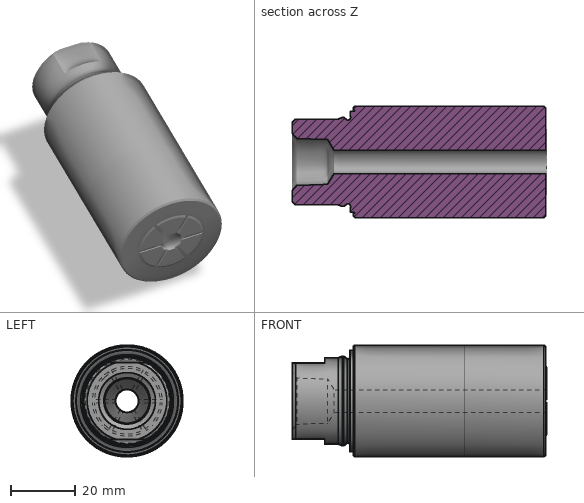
import cadquery as cq
import math

total_length = 79.48

neck_radius = 26.98 / 2
neck_chamfer = 1.05
neck_end = 14.4
flat_length = 10.1
flat_width = 23.8

ridge_radius = 27.94 / 2
ridge_start = 15.6
ridge_end = 16.1
relief_radius = 13.1
relief_start = 17.25

collar_radius = 31.75 / 2
collar_start = 18.0
gap_outer_radius = 32 / 2
gap_depth = 0.5
undercut_radius = 14.5

body_radius = 34.925 / 2
body_start = 19.0
body_chamfer = 0.55
seam_position = 53.7

pad_radius = 21.82 / 2
pad_height = 0.32
pad_edge_width = 0.65
slot_width = 1.1
slot_count = 3

countersink_radius = 8.87
countersink_depth = 1.4
socket_mouth_radius = 7.25
socket_end_radius = 13.89 / 2
taper_end = 10.2
cone_start = 11.0
drill_tip_half_angle = math.radians(59)
passage_radius = 7.11 / 2


def revolve_profile(profile):
    """Close an (x, radius) outline and revolve it about the X axis."""
    return profile.close().revolve(360, (0, 0, 0), (1, 0, 0))


def revolve_about_x(points):
    """Revolve a straight-sided (x, radius) outline about the X axis."""
    return revolve_profile(cq.Workplane("XY").polyline(points))


def make_front_section():
    """Neck, ridge, undercut, collar and the body up to the seam."""
    arc_run = collar_start - relief_start
    arc_rise = undercut_radius - relief_radius
    arc_radius = (arc_run**2 + arc_rise**2) / (2 * arc_rise)
    profile = (
        cq.Workplane("XY")
        .moveTo(0, 0)
        .lineTo(0, neck_radius - neck_chamfer)
        .lineTo(neck_chamfer, neck_radius)
        .lineTo(neck_end, neck_radius)
        .lineTo(ridge_start, ridge_radius)
        .lineTo(ridge_end, ridge_radius)
        .lineTo(relief_start, relief_radius)
        .threePointArc(
            (relief_start + arc_radius, relief_radius + arc_radius),
            (collar_start, undercut_radius),
        )
        .lineTo(collar_start, collar_radius)
        .lineTo(body_start + gap_depth, collar_radius)
        .lineTo(body_start + gap_depth, gap_outer_radius)
        .lineTo(body_start, gap_outer_radius)
        .lineTo(body_start, body_radius - body_chamfer)
        .lineTo(body_start + body_chamfer, body_radius)
        .lineTo(seam_position, body_radius)
        .lineTo(seam_position, 0)
    )
    return revolve_profile(profile)


def make_rear_section():
    """Body from the seam to the far end, with its raised pad."""
    body_end = total_length - pad_height
    return revolve_about_x([
        (seam_position, 0),
        (seam_position, body_radius),
        (body_end - body_chamfer, body_radius),
        (body_end, body_radius - body_chamfer),
        (body_end, pad_radius),
        (total_length, pad_radius - pad_edge_width),
        (total_length, 0),
    ])


def make_passage():
    """Countersunk tapered socket narrowing through a cone to the through hole."""
    cone_length = (socket_end_radius - passage_radius) / math.tan(drill_tip_half_angle)
    return revolve_about_x([
        (0, 0),
        (0, countersink_radius),
        (countersink_depth, socket_mouth_radius),
        (taper_end, socket_end_radius),
        (cone_start, socket_end_radius),
        (cone_start + cone_length, passage_radius),
        (total_length, passage_radius),
        (total_length, 0),
    ])


def make_flat_cutter(side):
    """Block that removes one wrench flat; side is +1 for top, -1 for bottom."""
    block_height = body_radius
    return cq.Workplane("XY").box(flat_length, 2 * body_radius, block_height).translate(
        (flat_length / 2, 0, side * (flat_width + block_height) / 2)
    )


def make_pad_slot(angle):
    """Slot across the full pad, turned about X by the given angle in degrees."""
    slot = cq.Workplane("XY").box(pad_height, 2 * body_radius, slot_width)
    return slot.translate((total_length - pad_height / 2, 0, 0)).rotate((0, 0, 0), (1, 0, 0), angle)


result = make_front_section().union(make_rear_section(), clean=False)
result = result.cut(make_passage(), clean=False)
for side in (1, -1):
    result = result.cut(make_flat_cutter(side), clean=False)
for index in range(slot_count):
    result = result.cut(make_pad_slot(index * 180 / slot_count), clean=False)